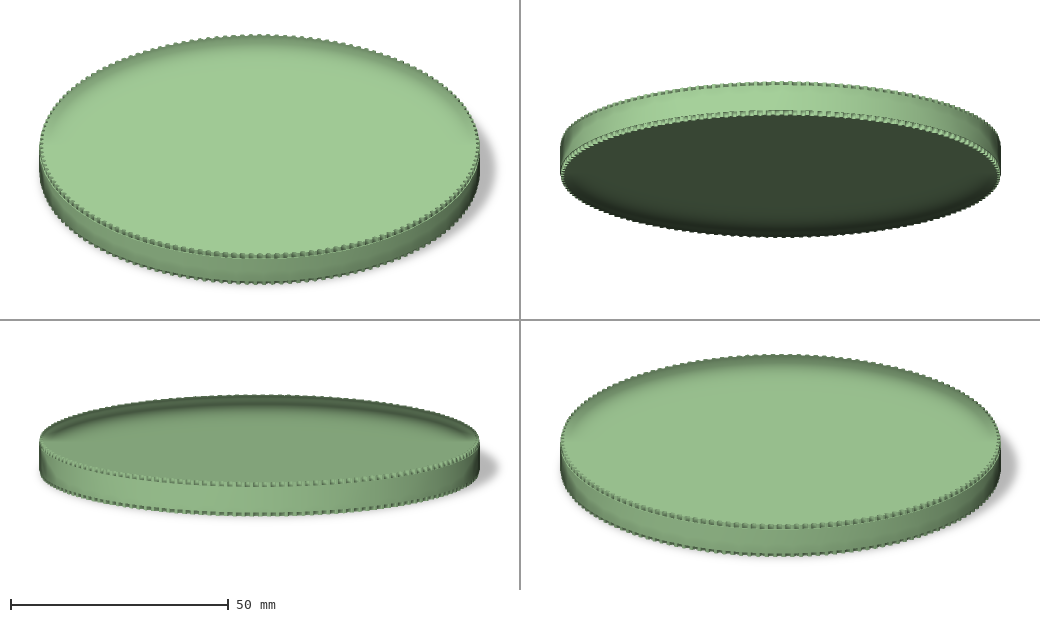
import cadquery as cq
import math

outer_diameter = 101.2
thickness = 8.0
tooth_count = 159
rim_height = 1.0
sleeve_wall = 0.25

groove_depth = 0.76
floor_radius = 0.56
throat_half_width = 0.59
lip_radius = 0.18

sleeve_radius = outer_diameter / 2
tip_radius = sleeve_radius - sleeve_wall
sleeve_height = thickness - 2 * rim_height
pitch_angle = 2 * math.pi / tooth_count


def mirrored(point):
    """Point mirrored across the Y axis."""
    return -point[0], point[1]


def turned(point, angle):
    """Point turned clockwise about the Z axis."""
    x, y = point
    return x * math.cos(angle) + y * math.sin(angle), y * math.cos(angle) - x * math.sin(angle)


mouth_half_width = throat_half_width + lip_radius
mouth = (-mouth_half_width, math.sqrt(tip_radius**2 - mouth_half_width**2))
lip_centre_y = mouth[1] - lip_radius
lip_middle = (
    -mouth_half_width + lip_radius * math.sin(math.pi / 4),
    lip_centre_y + lip_radius * math.cos(math.pi / 4),
)
throat = (-throat_half_width, lip_centre_y)
floor_edge = (-floor_radius, tip_radius - groove_depth + floor_radius)
floor_bottom = (0, tip_radius - groove_depth)
tip_middle = (0, tip_radius)


def add_groove_and_tip(outline, angle):
    """Continue the outline clockwise through the groove at this angle and over the next tooth tip."""

    def place(point):
        return turned(point, angle)

    return (
        outline.threePointArc(place(lip_middle), place(throat))
        .lineTo(*place(floor_edge))
        .threePointArc(place(floor_bottom), place(mirrored(floor_edge)))
        .lineTo(*place(mirrored(throat)))
        .threePointArc(place(mirrored(lip_middle)), place(mirrored(mouth)))
        .threePointArc(
            turned(tip_middle, angle + pitch_angle / 2),
            turned(mouth, angle + pitch_angle),
        )
    )


def toothed_disc():
    """Solid disc with grooves all round: a tooth is centred on +Y and a groove on -Y."""
    first_angle = pitch_angle / 2
    outline = cq.Workplane("XY").workplane(offset=-thickness / 2)
    outline = outline.moveTo(*turned(mouth, first_angle))
    for index in range(tooth_count):
        outline = add_groove_and_tip(outline, first_angle + index * pitch_angle)
    return outline.close().extrude(thickness)


def sleeve():
    """Thin ring around the tooth tips, closing the grooves between the two rims."""
    return (
        cq.Workplane("XY").workplane(offset=-sleeve_height / 2)
        .circle(sleeve_radius)
        .circle(tip_radius)
        .extrude(sleeve_height)
    )


result = toothed_disc().union(sleeve())